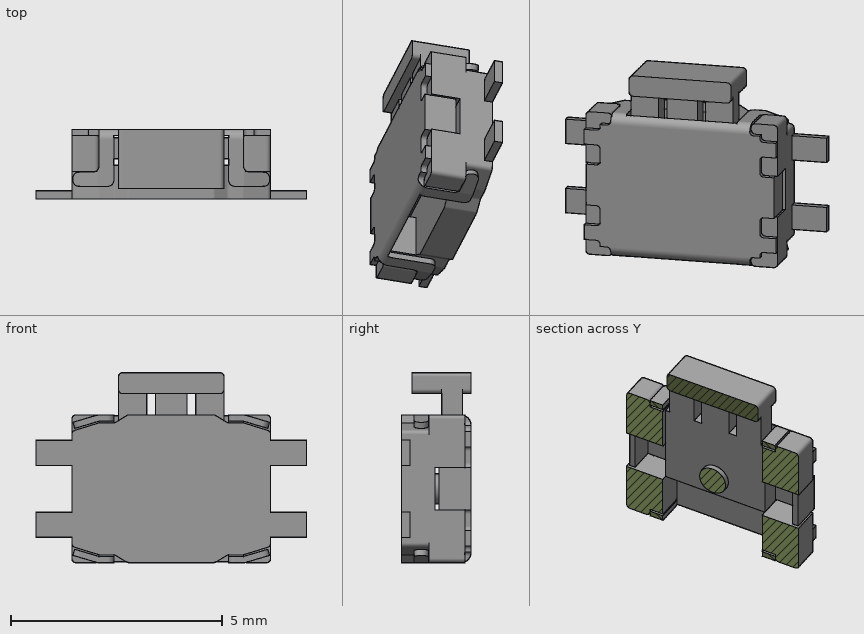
import cadquery as cq
import math


body_width = 4.7
body_height = 3.5
total_depth = 1.65
sheet_thickness = 0.15
edge_radius = 0.1

half_width = body_width / 2
half_height = body_height / 2
back_y = total_depth - sheet_thickness

floor_depth = 0.8
corner_notch_depth = 0.65
crown_half_width = 1.02
ledge_inner_x = 1.34
ledge_z = 1.56
wing_edge_z = 1.36
window_half_height = 0.5
dome_radius = 0.36

lead_tip_x = 3.2
lead_root_x = 1.8
lead_thickness = 0.2
lead_inner_z = 0.55
lead_outer_z = 1.15
lead_root_z = 0.72

clip_inner_x = 1.355
clip_outer_x = 1.705
bend_radius = 0.25
bend_y = total_depth - bend_radius
clip_inner_z = half_height - sheet_thickness
foot_front_y = 0.3
foot_back_y = 0.64
foot_radius = 0.15
foot_tip_x = 2.325
foot_angle = 16.5
step_x = 1.955
step_z = 1.495
ear_top_z = 1.35
ear_bottom_z = 0.99
side_tab_front_y = 0.89
side_tab_face_x = 2.3

cap_width = 2.5
cap_height = 0.5
cap_front_y = 0.25
button_protrusion = 1.0
cap_top_z = half_height + button_protrusion
cap_bottom_z = cap_top_z - cap_height
stem_front_y = 0.95
stem_depth = 0.5
shoulder_z = 1.5
slider_bottom_z = -window_half_height
slot_inner_x = 0.375
slot_width = 0.2


def prism_y(points, start_y, end_y):
    """Extrude an outline of (x, z) points from start_y to end_y."""
    outline = cq.Workplane("XZ", origin=(0, start_y, 0)).polyline(points).close()
    return outline.extrude(start_y - end_y)


def box(x_range, y_range, z_range):
    """Box between two limits on each axis."""
    lower = (x_range[0], y_range[0], z_range[0])
    size = [high - low for low, high in (x_range, y_range, z_range)]
    return cq.Workplane("XY").box(*size, centered=False).translate(lower)


def four_way(quarter):
    """The quarter points on +X +Z, carried to all four quadrants in outline order."""
    right = quarter + [(x, -z) for x, z in reversed(quarter)]
    return right + [(-x, z) for x, z in reversed(right)]


def in_four_corners(solid):
    """The solid and its mirror images across the X = 0 and Z = 0 planes."""
    pair = [solid, solid.mirror("YZ")]
    return pair + [copy.mirror("XY") for copy in pair]


def cover_plate():
    """Back plate with its edges rolled over at top and bottom, ears and stepped corners."""
    outline = four_way([
        (clip_outer_x, half_height),
        (clip_outer_x, step_z),
        (step_x, step_z),
        (step_x, ear_top_z),
        (half_width, ear_top_z),
        (half_width, ear_bottom_z),
        (step_x, ear_bottom_z),
        (step_x, window_half_height),
        (side_tab_face_x, window_half_height),
    ])
    plate = prism_y(outline, bend_y, total_depth)
    inner_corners = [
        (x_side * x, z_side * z)
        for x, z in (
            (clip_outer_x, step_z),
            (step_x, ear_top_z),
            (step_x, ear_bottom_z),
            (step_x, window_half_height),
        )
        for x_side in (-1, 1)
        for z_side in (-1, 1)
    ]
    reach = edge_radius / 10
    for x, z in inner_corners:
        corner = cq.selectors.BoxSelector(
            (x - reach, 0, z - reach), (x + reach, 2 * total_depth, z + reach)
        )
        plate = plate.edges("|Y").edges(corner).fillet(edge_radius)
    channel = (
        box((-half_width, half_width), (0, total_depth), (-half_height, half_height))
        .edges("|X and >Y")
        .fillet(bend_radius)
    )
    hollow = (
        box((-half_width, half_width), (0, back_y), (-clip_inner_z, clip_inner_z))
        .edges("|X and >Y")
        .fillet(bend_radius - sheet_thickness)
    )
    opening = box((-clip_inner_x, clip_inner_x), (0, back_y), (-half_height, half_height))
    return plate.intersect(channel.cut(hollow)).cut(opening)


def clip():
    """L-shaped clip at the +X +Z corner: a flat arm and a foot bent down at its front end."""
    plan = (
        cq.Workplane("XY")
        .moveTo(clip_inner_x, bend_y)
        .lineTo(clip_inner_x, foot_front_y + foot_radius)
        .radiusArc((clip_inner_x + foot_radius, foot_front_y), -foot_radius)
        .lineTo(half_width, foot_front_y)
        .lineTo(half_width, foot_back_y)
        .lineTo(clip_outer_x + foot_radius, foot_back_y)
        .radiusArc((clip_outer_x, foot_back_y + foot_radius), foot_radius)
        .lineTo(clip_outer_x, bend_y)
        .close()
        .extrude(half_height)
    )
    angle = math.radians(foot_angle)
    sheet_direction = cq.Vector(math.sin(angle), 0, math.cos(angle))
    across_sheet = sheet_direction * sheet_thickness
    upper_bend_x = clip_outer_x + sheet_thickness * math.tan(angle / 2)
    tip_z = half_height - (foot_tip_x - upper_bend_x) * math.tan(angle)
    bent_strip = prism_y(
        [
            (clip_inner_x, half_height),
            (upper_bend_x, half_height),
            (foot_tip_x, tip_z),
            (foot_tip_x - across_sheet.x, tip_z - across_sheet.z),
            (clip_outer_x, clip_inner_z),
            (clip_inner_x, clip_inner_z),
        ],
        0,
        bend_y,
    )
    tip_edges = cq.selectors.ParallelDirSelector(sheet_direction)
    return plan.intersect(bent_strip).edges(tip_edges).fillet(foot_radius)


def make_cover():
    cover = cover_plate()
    for corner_clip in in_four_corners(clip()):
        cover = cover.union(corner_clip)
    side_tab = box(
        (side_tab_face_x - sheet_thickness, side_tab_face_x),
        (side_tab_front_y, total_depth),
        (-window_half_height, window_half_height),
    )
    return cover.union(side_tab).union(side_tab.mirror("YZ"))


def housing_floor():
    """Slab on the mounting side, its corners relieved for the clip feet."""
    outline = four_way([
        (crown_half_width, half_height),
        (ledge_inner_x, ledge_z),
        (clip_outer_x, ledge_z),
        (half_width, wing_edge_z),
    ])
    return prism_y(outline, 0, floor_depth).edges("|Y").fillet(edge_radius)


def side_wall():
    """Wall on +X behind the clip feet, stepped down under the clip arms."""
    quarter = [
        (clip_inner_x, ledge_z),
        (clip_outer_x, ledge_z),
        (clip_outer_x, half_height),
        (half_width, half_height),
    ]
    outline = quarter + [(x, -z) for x, z in reversed(quarter)]
    wall = prism_y(outline, corner_notch_depth, back_y)
    for end in (">Z", "<Z"):
        wall = wall.faces(end).edges("|Y").fillet(edge_radius)
    return wall


def lead():
    """Flat lead at the +X +Z corner, tapered where it enters the housing."""
    outline = [
        (lead_tip_x, lead_outer_z),
        (lead_root_x, lead_outer_z),
        (lead_root_x, lead_root_z),
        (half_width, lead_inner_z),
        (lead_tip_x, lead_inner_z),
    ]
    return prism_y(outline, 0, lead_thickness)


def make_housing(cover):
    wall = side_wall()
    housing = housing_floor().union(wall).union(wall.mirror("YZ"))
    window = box(
        (-half_width, half_width),
        (floor_depth, back_y),
        (-window_half_height, window_half_height),
    )
    dome = cq.Workplane("XZ", origin=(0, floor_depth, 0)).circle(dome_radius)
    housing = housing.cut(window).union(dome.extrude(floor_depth - stem_front_y)).cut(cover)
    for corner_lead in in_four_corners(lead()):
        housing = housing.cut(corner_lead, clean=False).union(corner_lead, clean=False)
    return housing


def make_button():
    half_cap = cap_width / 2
    stem_y = (stem_front_y, stem_front_y + stem_depth)
    cap = (
        box((-half_cap, half_cap), (cap_front_y, total_depth), (cap_bottom_z, cap_top_z))
        .edges("|Y")
        .fillet(edge_radius)
    )
    stem = box((-half_cap, half_cap), stem_y, (shoulder_z, cap_top_z - cap_height / 2))
    slider = box((-clip_inner_x, clip_inner_x), stem_y, (slider_bottom_z, shoulder_z))
    button = cap.union(stem).union(slider)
    slot = box((slot_inner_x, slot_inner_x + slot_width), stem_y, (shoulder_z, cap_bottom_z))
    return button.cut(slot).cut(slot.mirror("YZ"))


cover = make_cover()
housing = make_housing(cover)
button = make_button()

result = cq.Compound.makeCompound([body.solids().val() for body in (housing, cover, button)])